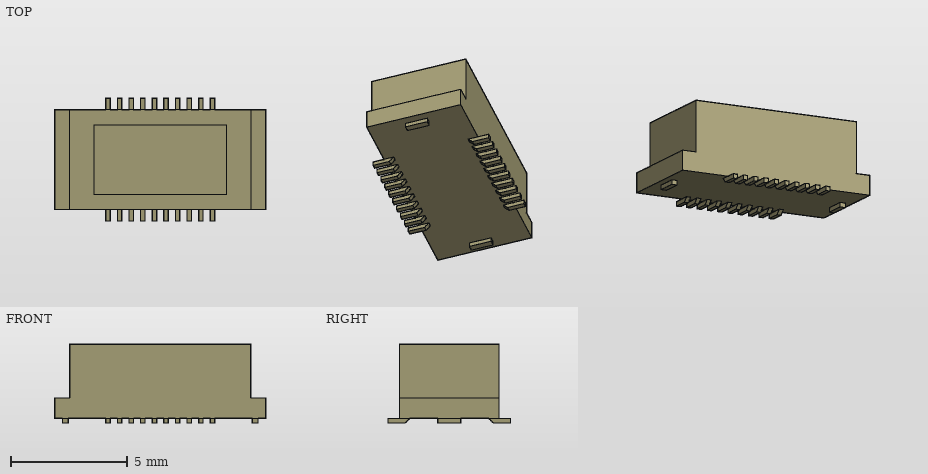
import cadquery as cq

base_length = 9.1
housing_width = 4.3
base_height = 0.89
upper_length = 7.8
housing_height = 3.2

cavity_length = 5.7
cavity_width = 3.0
cavity_depth = 2.0

overall_width = 5.3
pins_per_side = 10
pin_pitch = 0.5
pin_width = 0.2
pin_thickness = 0.2
pin_top_length = 0.95

tab_length = 0.255
tab_width = 1.0
tab_spacing = 8.17


def make_block(length, width, height, bottom=0.0):
    """Block centred on the Z axis, standing on the given level."""
    return (
        cq.Workplane("XY")
        .workplane(offset=bottom)
        .rect(length, width)
        .extrude(height)
    )


def make_housing():
    """Long base with a shorter upper block, hollowed from above."""
    base = make_block(base_length, housing_width, base_height)
    upper = make_block(upper_length, housing_width, housing_height)
    cavity_floor = housing_height - cavity_depth
    cavity = make_block(cavity_length, cavity_width, cavity_depth, cavity_floor)
    return base.union(upper).cut(cavity)


def make_pin(x_center, side):
    """Flat pin below the housing; its inner end slopes at 45 degrees."""
    outer_y = overall_width / 2
    top_inner_y = outer_y - pin_top_length
    bottom_inner_y = top_inner_y + pin_thickness
    profile = [
        (side * outer_y, 0),
        (side * top_inner_y, 0),
        (side * bottom_inner_y, -pin_thickness),
        (side * outer_y, -pin_thickness),
    ]
    return (
        cq.Workplane("YZ")
        .workplane(offset=x_center - pin_width / 2)
        .polyline(profile)
        .close()
        .extrude(pin_width)
    )


def make_tab(x_center):
    """Solder tab as thick as the pins."""
    tab = make_block(tab_length, tab_width, pin_thickness, -pin_thickness)
    return tab.translate((x_center, 0, 0))


result = make_housing()

for index in range(pins_per_side):
    pin_x = (index - (pins_per_side - 1) / 2) * pin_pitch
    for side in (-1, 1):
        result = result.union(make_pin(pin_x, side))

for side in (-1, 1):
    result = result.union(make_tab(side * tab_spacing / 2))